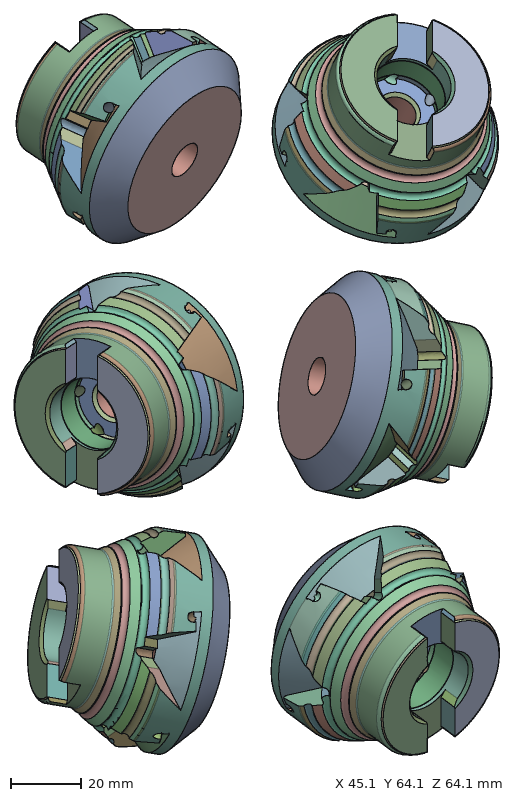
import cadquery as cq
import math


LENGTH = 45.08
HEAD_RADIUS = 32.035
SHANK_RADIUS = 23.0
FACE_BEVEL_LENGTH = 0.5
FACE_BEVEL_HEIGHT = 0.3
FACE_ROUND_LENGTH = 1.1
FACE_ROUND_HEIGHT = 0.8
FACE_ROUND_SAG = 0.15

CONE_START = 10.2
CONE_ANGLE = math.radians(30)
CONE_SLOPE = math.tan(CONE_ANGLE)
GROOVE_COUNT = 3
GROOVE_PITCH = 5.0
FIRST_CREST = 12.2
CREST_FLAT = 0.3
GROOVE_LENGTH = 1.95
GROOVE_BOTTOM_OFFSET = 0.6
GROOVE_BOTTOM_DROP = 0.15
BLEND_LENGTH = 0.27

RING_START = 24.6
RING_BACK_RADIUS = 23.3
RING_FULL_START = 34.0
RING_FULL_END = 37.3

BORE_RADIUS = 22.0 / 2
BORE_RELIEF_RADIUS = 22.3 / 2
BORE_DEPTH = 17.5
RELIEF_START = 7.6
RELIEF_END = 15.7
BORE_CHAMFER = 0.95
SCREW_RADIUS = 11.0 / 2
SCREW_CHAMFER = 1.0
SLOT_WIDTH = 10.4
SLOT_DEPTH = 6.2
SLOT_OUTER_FLARE_START = 21.3
SLOT_INNER_FLARE_END = 10.4
SLOT_INNER_FLARE_OVERLAP = 0.1

POCKET_COUNT = 5
POCKET_AXIS = cq.Vector(1.0, -0.37, -0.82)
POCKET_REACH_OUT = 12.0
POCKET_REACH_IN = 10.0
WALL_TOP = (-22.5, 37.0)
WALL_FOOT = (-9.7, 21.0)
STEP_EDGE = (-7.6, 22.5)
RELIEF_BOTTOM_START = (-5.7, 20.15)
RELIEF_BOTTOM_MID = (-4.6, 20.35)
RELIEF_BOTTOM_END = (-4.1, 22.1)
FLOOR_BEND = (-3.1, 26.5)
FLOOR_TOP = (4.2, 42.0)

COOLANT_DIAMETER = 3.0
COOLANT_INLET = cq.Vector(BORE_DEPTH, 2.9, 11.0)
COOLANT_OUTLET = cq.Vector(31.75, 20.2, 24.85)
COOLANT_OVERRUN = 4.0

OUTLET_RELIEF = [(31.7, 21.3), (34.5, 21.7), (34.5, 16.0), (33.1, 16.0), (32.6, 19.1)]
OUTLET_RELIEF_FLOOR = 20.0


def cone_radius(x):
    return SHANK_RADIUS + (x - CONE_START) * CONE_SLOPE


def cone_point(x):
    return (x, cone_radius(x))


def revolve_about_axis(profile):
    return profile.close().revolve(360, (0, 0, 0), (1, 0, 0))


def around_axis(shape):
    """Return the shape repeated once per pocket around the X axis."""
    step = 360 / POCKET_COUNT
    return [shape.rotate(cq.Vector(0, 0, 0), cq.Vector(1, 0, 0), i * step) for i in range(POCKET_COUNT)]


def make_ribbed_body():
    bevel_radius = SHANK_RADIUS - FACE_ROUND_HEIGHT
    blend_run = BLEND_LENGTH * math.cos(CONE_ANGLE)
    round_end = FACE_BEVEL_LENGTH + FACE_ROUND_LENGTH
    round_mid = (
        FACE_BEVEL_LENGTH + FACE_ROUND_LENGTH / 2 - FACE_ROUND_SAG,
        SHANK_RADIUS - FACE_ROUND_HEIGHT / 2 + FACE_ROUND_SAG,
    )
    profile = (
        cq.Workplane("XY")
        .lineTo(0, bevel_radius - FACE_BEVEL_HEIGHT)
        .lineTo(FACE_BEVEL_LENGTH, bevel_radius)
        .threePointArc(round_mid, (round_end, SHANK_RADIUS))
        .lineTo(CONE_START - BLEND_LENGTH, SHANK_RADIUS)
        .tangentArcPoint(cone_point(CONE_START + blend_run), relative=False)
    )
    for i in range(GROOVE_COUNT):
        crest = FIRST_CREST + i * GROOVE_PITCH
        crest_radius = cone_radius(crest)
        groove_start = crest + CREST_FLAT
        groove_end = groove_start + GROOVE_LENGTH
        profile = (
            profile.lineTo(crest, crest_radius)
            .lineTo(groove_start, crest_radius)
            .threePointArc(
                (groove_start + GROOVE_BOTTOM_OFFSET, crest_radius - GROOVE_BOTTOM_DROP),
                cone_point(groove_end),
            )
        )
    cone_end = CONE_START + (HEAD_RADIUS - SHANK_RADIUS) / CONE_SLOPE
    profile = (
        profile.lineTo(*cone_point(cone_end - blend_run))
        .tangentArcPoint((cone_end + BLEND_LENGTH, HEAD_RADIUS), relative=False)
        .lineTo(RING_FULL_START, HEAD_RADIUS)
    )
    return revolve_about_axis(profile.lineTo(RING_FULL_START, 0))


def make_cutting_ring():
    front_radius = HEAD_RADIUS - (LENGTH - RING_FULL_END)
    profile = (
        cq.Workplane("XY")
        .moveTo(RING_START, 0)
        .lineTo(RING_START, RING_BACK_RADIUS)
        .lineTo(RING_FULL_START, HEAD_RADIUS)
        .lineTo(RING_FULL_END, HEAD_RADIUS)
        .lineTo(LENGTH, front_radius)
        .lineTo(LENGTH, 0)
    )
    return revolve_about_axis(profile)


def make_pocket():
    """Oblique prism that forms one insert pocket."""
    plane = cq.Plane(origin=(RING_START, 0, 0), xDir=(0, -1, 0), normal=(-1, 0, 0))
    section = (
        cq.Workplane(plane)
        .moveTo(*WALL_TOP)
        .lineTo(*WALL_FOOT)
        .lineTo(*STEP_EDGE)
        .lineTo(*RELIEF_BOTTOM_START)
        .threePointArc(RELIEF_BOTTOM_MID, RELIEF_BOTTOM_END)
        .lineTo(*FLOOR_BEND)
        .lineTo(*FLOOR_TOP)
        .close()
        .val()
        .translate(POCKET_AXIS * -POCKET_REACH_OUT)
    )
    return cq.Solid.extrudeLinear(section, [], POCKET_AXIS * (POCKET_REACH_OUT + POCKET_REACH_IN))


def make_coolant_hole():
    run = COOLANT_OUTLET - COOLANT_INLET
    direction = run.normalized()
    start = COOLANT_INLET - direction * COOLANT_OVERRUN
    return cq.Solid.makeCylinder(COOLANT_DIAMETER / 2, run.Length + 2 * COOLANT_OVERRUN, start, direction)


def make_outlet_relief():
    height = HEAD_RADIUS - OUTLET_RELIEF_FLOOR
    outline = cq.Workplane("XY").workplane(offset=OUTLET_RELIEF_FLOOR).polyline(OUTLET_RELIEF).close()
    return outline.extrude(height).val()


def make_bore():
    mouth_radius = BORE_RADIUS + BORE_CHAMFER
    profile = (
        cq.Workplane("XY")
        .lineTo(0, mouth_radius)
        .lineTo(BORE_CHAMFER, BORE_RADIUS)
        .lineTo(RELIEF_START, BORE_RADIUS)
        .lineTo(RELIEF_START, BORE_RELIEF_RADIUS)
        .lineTo(RELIEF_END, BORE_RELIEF_RADIUS)
        .lineTo(RELIEF_END, BORE_RADIUS)
        .lineTo(BORE_DEPTH, BORE_RADIUS)
        .lineTo(BORE_DEPTH, SCREW_RADIUS + SCREW_CHAMFER)
        .lineTo(BORE_DEPTH + SCREW_CHAMFER, SCREW_RADIUS)
        .lineTo(LENGTH, SCREW_RADIUS)
        .lineTo(LENGTH, 0)
    )
    return revolve_about_axis(profile)


def make_drive_slot():
    """Slot across the mounting face along Z, flared at about 45 degrees towards the shank and the bore."""
    half_width = SLOT_WIDTH / 2
    flare = SHANK_RADIUS - SLOT_OUTER_FLARE_START
    inner_corner = (BORE_RADIUS - SLOT_INNER_FLARE_OVERLAP) * math.sqrt(0.5)
    half_outline = [
        (0, 0),
        (inner_corner, inner_corner),
        (half_width, SLOT_INNER_FLARE_END),
        (half_width, SLOT_OUTER_FLARE_START),
        (half_width + flare, SHANK_RADIUS),
        (0, SHANK_RADIUS),
    ]
    quarter = cq.Workplane("YZ").polyline(half_outline).close().extrude(SLOT_DEPTH)
    half = quarter.union(quarter.mirror("XZ"))
    return half.union(half.mirror("XY"))


body = make_ribbed_body()
for pocket in around_axis(make_pocket()):
    body = body.cut(cq.Workplane(pocket))
for relief in around_axis(make_outlet_relief()):
    body = body.cut(cq.Workplane(relief))
body = body.union(make_cutting_ring())
body = body.cut(make_bore()).cut(make_drive_slot())
for hole in around_axis(make_coolant_hole()):
    body = body.cut(cq.Workplane(hole))

result = body